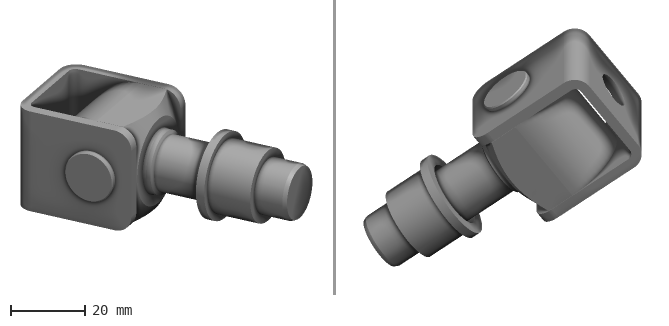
import cadquery as cq

height = 30.0
bracket_length = 35.55
bracket_width = 32.0
wall = 3.0
back_wall = 2.75
bend_inner_radius = 2.0
bend_outer_radius = 4.95
ear_corner_radius = 5.0
back_hole_diameter = 10.05

pin_x = 23.5
pin_head_diameter = 14.6
pin_shank_diameter = 12.0
pin_length = 35.4
pin_chamfer = 0.3
pin_head_gap = 0.15

eye_side_gap = 0.1
eye_width = bracket_width - 2 * wall - 2 * eye_side_gap
eye_radius = height / 2
eye_end_x = bracket_length
eye_cone_face_radius = 12.55
eye_cone_depth = 6.3
eye_cone_rise = 11.0
bolt_end_x = 78.5
shaft_radius = 8.0
shaft_chamfer_length = 1.2
shaft_chamfer_depth = 0.5
collar_base_radius = 9.35
collar_radius = 9.1
collar_base_length = 0.95
collar_length = 2.8
collar_slope_length = 0.55

bushing_start_x = 53.4
flange_thickness = 2.5
flange_radius = 12.5
bushing_end_x = 68.85
bushing_radius = 10.5
countersink_radius = 9.3
countersink_depth = 2.35


def cylinder_along_y(diameter, length):
    """Cylinder on the pin axis, centred on the bolt axis."""
    return (
        cq.Workplane("XZ", origin=(pin_x, length / 2, 0))
        .circle(diameter / 2)
        .extrude(length)
    )


def revolve_about_x(profile):
    """Solid of revolution from (x, radius) points."""
    return cq.Workplane("XY").polyline(profile).close().revolve(360, (0, 0, 0), (1, 0, 0))


def make_bracket():
    bracket = (
        cq.Workplane("XY")
        .box(bracket_length, bracket_width, height, centered=(False, True, True))
        .edges("|Z and <X")
        .fillet(bend_outer_radius)
        .edges("|Y and >X")
        .fillet(ear_corner_radius)
    )
    opening = (
        cq.Workplane("XY", origin=(back_wall, 0, 0))
        .box(bracket_length, bracket_width - 2 * wall, height, centered=(False, True, True))
        .edges("|Z and <X")
        .fillet(bend_inner_radius)
    )
    back_hole = cq.Workplane("YZ").circle(back_hole_diameter / 2).extrude(2 * back_wall)
    pin_holes = cylinder_along_y(pin_shank_diameter, bracket_width)
    return bracket.cut(opening).cut(back_hole).cut(pin_holes)


def make_pin():
    shank_length = bracket_width + 2 * pin_head_gap
    heads = (
        cylinder_along_y(pin_head_diameter, pin_length)
        .faces("<Y or >Y")
        .chamfer(pin_chamfer)
        .cut(cylinder_along_y(2 * pin_head_diameter, shank_length))
    )
    return cylinder_along_y(pin_shank_diameter, shank_length).union(heads)


def make_eye():
    round_end = cylinder_along_y(2 * eye_radius, eye_width)
    block = cq.Workplane("XY", origin=(pin_x, 0, 0)).box(
        eye_end_x - pin_x, eye_width, height, centered=(False, True, True)
    )
    cone_start_x = eye_end_x - eye_cone_depth
    cone_start_radius = eye_cone_face_radius + eye_cone_rise
    envelope = revolve_about_x([
        (0, 0),
        (0, cone_start_radius),
        (cone_start_x, cone_start_radius),
        (eye_end_x, eye_cone_face_radius),
        (eye_end_x, 0),
    ])
    return round_end.union(block).intersect(envelope)


def make_bolt():
    collar_step_x = eye_end_x + collar_base_length
    collar_end_x = eye_end_x + collar_length
    shaft = revolve_about_x([
        (eye_end_x, 0),
        (eye_end_x, collar_base_radius),
        (collar_step_x, collar_radius),
        (collar_end_x - collar_slope_length, collar_radius),
        (collar_end_x, shaft_radius),
        (bolt_end_x - shaft_chamfer_length, shaft_radius),
        (bolt_end_x, shaft_radius - shaft_chamfer_depth),
        (bolt_end_x, 0),
    ])
    pin_hole = cylinder_along_y(pin_shank_diameter, bracket_width)
    return make_eye().union(shaft).cut(pin_hole)


def make_bushing():
    countersink_end_x = bushing_start_x + countersink_depth
    flange_end_x = bushing_start_x + flange_thickness
    return revolve_about_x([
        (bushing_start_x, countersink_radius),
        (bushing_start_x, flange_radius),
        (flange_end_x, flange_radius),
        (flange_end_x, bushing_radius),
        (bushing_end_x, bushing_radius),
        (bushing_end_x, shaft_radius),
        (countersink_end_x, shaft_radius),
    ])


bracket = make_bracket()
pin = make_pin()
bolt = make_bolt()
bushing = make_bushing()

result = cq.Compound.makeCompound([bracket.val(), pin.val(), bolt.val(), bushing.val()])